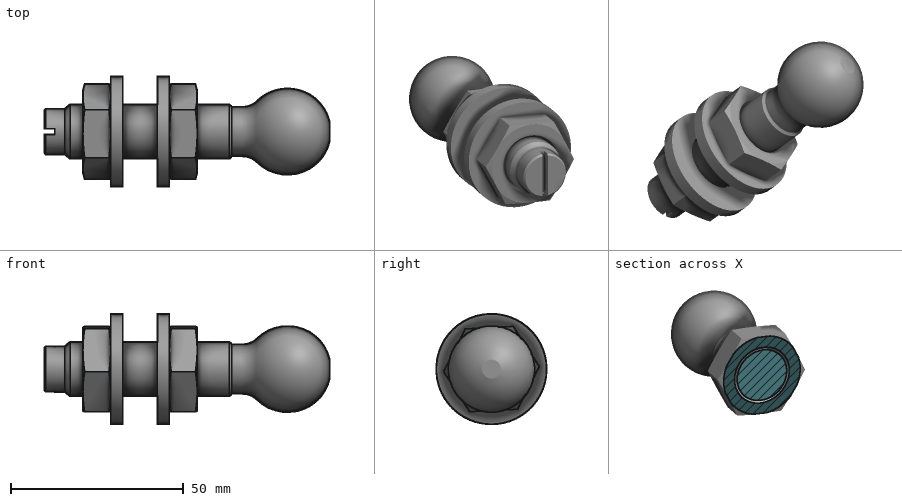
import cadquery as cq
import math


overall_length = 82.55
shank_diameter = 15.8
tip_diameter = 13.3
tip_length = 6.0
tip_chamfer = 0.5
shank_start = 7.5
shank_end = 53.55
neck_diameter = 14.4
neck_fillet_radius = 6.0
ball_diameter = 25.0
ball_center_x = 70.35
slot_width = 1.6
slot_depth = 3.0

nut_across_flats = 24.0
nut_thickness = 8.0
nut_tilt = 3.0
nut_chamfer_angle = 15.0
nut_countersink_diameter = 17.3

washer_diameter = 32.0
washer_bore = 17.0
washer_thickness = 3.5

first_nut_x = 11.2
first_washer_x = first_nut_x + nut_thickness
washer_gap = 10.0
second_washer_x = first_washer_x + washer_thickness + washer_gap
second_nut_x = second_washer_x + washer_thickness


def make_ball_stud():
    shank_radius = shank_diameter / 2
    tip_radius = tip_diameter / 2
    neck_radius = neck_diameter / 2
    ball_radius = ball_diameter / 2

    center_distance = ball_radius + neck_fillet_radius
    fillet_center_r = neck_radius + neck_fillet_radius
    fillet_center_x = ball_center_x - math.sqrt(center_distance**2 - fillet_center_r**2)
    slope = math.atan2(fillet_center_r, ball_center_x - fillet_center_x)
    ball_tangent = (
        ball_center_x - ball_radius * math.cos(slope),
        ball_radius * math.sin(slope),
    )
    middle_angle = (-math.pi / 2 - slope) / 2
    fillet_middle = (
        fillet_center_x + neck_fillet_radius * math.cos(middle_angle),
        fillet_center_r + neck_fillet_radius * math.sin(middle_angle),
    )

    end_flat_radius = math.sqrt(ball_radius**2 - (overall_length - ball_center_x) ** 2)

    neck_start = shank_end + shank_radius - neck_radius
    stud = (
        cq.Workplane("XY")
        .moveTo(0, 0)
        .lineTo(0, tip_radius - tip_chamfer)
        .lineTo(tip_chamfer, tip_radius)
        .lineTo(tip_length, tip_radius)
        .lineTo(shank_start, shank_radius)
        .lineTo(shank_end, shank_radius)
        .lineTo(neck_start, neck_radius)
        .lineTo(fillet_center_x, neck_radius)
        .threePointArc(fillet_middle, ball_tangent)
        .threePointArc((ball_center_x, ball_radius), (overall_length, end_flat_radius))
        .lineTo(overall_length, 0)
        .close()
        .revolve(360, (0, 0, 0), (1, 0, 0))
    )
    slot = cq.Workplane("XY").box(
        slot_depth, slot_width, shank_diameter, centered=(False, True, True)
    )
    return stud.cut(slot)


def make_nut(start_x):
    corner_diameter = nut_across_flats / math.cos(math.pi / 6)
    flat_radius = nut_across_flats / 2
    corner_radius = corner_diameter / 2
    chamfer_height = (corner_radius - flat_radius) * math.tan(math.radians(nut_chamfer_angle))
    bore_radius = shank_diameter / 2
    countersink_radius = nut_countersink_diameter / 2
    countersink_depth = countersink_radius - bore_radius

    hexagon = (
        cq.Workplane("YZ")
        .polygon(6, corner_diameter)
        .extrude(nut_thickness)
        .rotate((0, 0, 0), (1, 0, 0), nut_tilt)
    )
    envelope = (
        cq.Workplane("XY")
        .moveTo(0, countersink_radius)
        .lineTo(0, flat_radius)
        .lineTo(chamfer_height, corner_radius)
        .lineTo(nut_thickness - chamfer_height, corner_radius)
        .lineTo(nut_thickness, flat_radius)
        .lineTo(nut_thickness, countersink_radius)
        .lineTo(nut_thickness - countersink_depth, bore_radius)
        .lineTo(countersink_depth, bore_radius)
        .close()
        .revolve(360, (0, 0, 0), (1, 0, 0))
    )
    return hexagon.intersect(envelope).translate((start_x, 0, 0))


def make_washer(start_x):
    return (
        cq.Workplane("YZ", origin=(start_x, 0, 0))
        .circle(washer_diameter / 2)
        .circle(washer_bore / 2)
        .extrude(washer_thickness)
    )


ball_stud = make_ball_stud()
nuts = [make_nut(x) for x in (first_nut_x, second_nut_x)]
washers = [make_washer(x) for x in (first_washer_x, second_washer_x)]

result = cq.Compound.makeCompound([body.val() for body in [ball_stud, *nuts, *washers]])